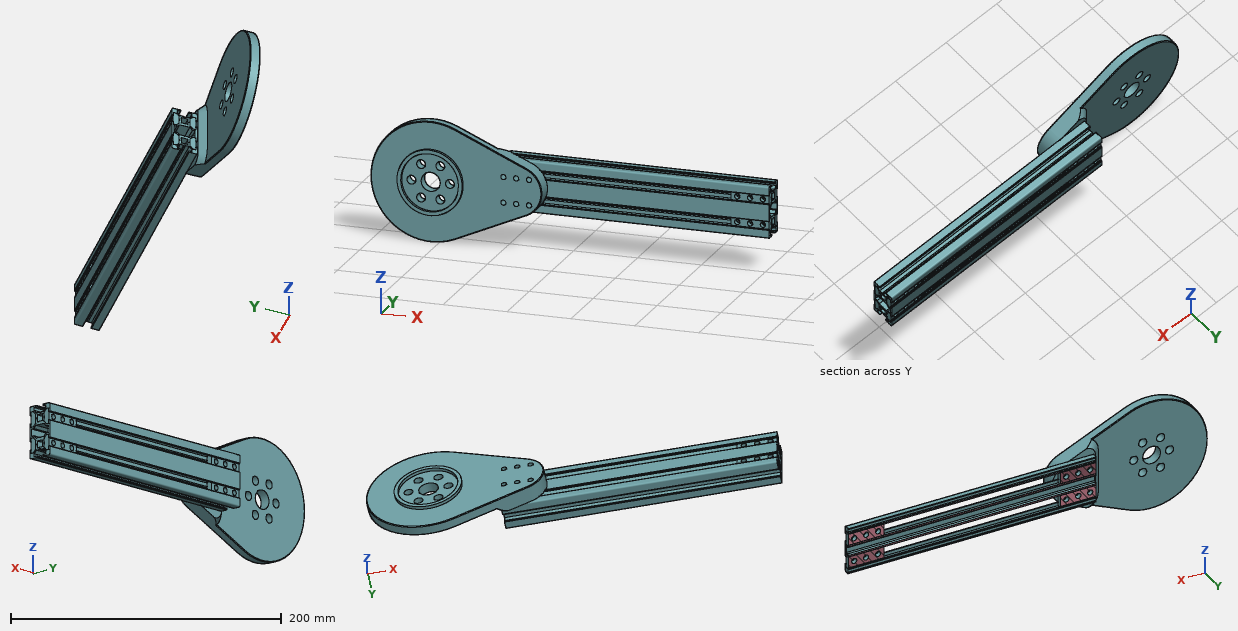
import cadquery as cq
import math


disc_radius = 47.0
tip_radius = 20.0
tip_x = 67.0
plate_thickness = 8.0
edge_chamfer = 0.5
pad_height = 5.2
pad_start_x = 50.0
pad_half_width = 25.8
pad_corner_radius = 7.0

hub_diameter = 51.0
hub_height = 2.5
hub_recess_diameter = 45.0
hub_recess_depth = 2.5
bore_diameter = 14.7
hub_hole_count = 6
hub_hole_diameter = 6.8
hub_hole_circle_radius = 15.0

overall_length = 306.8
cell = 20.0
rail_start_x = 52.0
rail_end_x = overall_length - disc_radius
rail_length = rail_end_x - rail_start_x
rail_front_y = plate_thickness + pad_height
rail_centre_y = rail_front_y + cell / 2
cell_centres_z = (-cell / 2, cell / 2)
rail_corner_radius = 1.2
slot_mouth = 6.0
mouth_chamfer = 0.45
slot_width = 11.7
slot_lip = 1.2
slot_floor_width = 7.0
slot_floor_from_centre = 4.3
groove_width = 1.5
groove_depth = 0.5
core_hole = 5.2
cavity_half_depth = 8.3
cavity_shoulder_half_depth = 6.0
cavity_shoulder_half_width = 2.8
cavity_half_width = 5.0

strip_length = 30.0
strip_hole_count = 3
strip_hole_pitch = strip_length / strip_hole_count
strip_recess = 1.0
screw_hole_diameter = 4.0


def strip_hole_positions(strip_start_x):
    """X positions of the screw holes in a strip that starts at strip_start_x."""
    return [strip_start_x + (i + 0.5) * strip_hole_pitch for i in range(strip_hole_count)]


def cylinder_y(diameter, x, z, y_from, y_to):
    """Cylinder parallel to Y."""
    start = cq.Vector(x, y_from, z)
    return cq.Workplane(cq.Solid.makeCylinder(diameter / 2, y_to - y_from, start, cq.Vector(0, 1, 0)))


def facing_back(y):
    """Sketch plane at the given Y: local x is X, local y is -Z, extrusion goes toward +Y."""
    return cq.Workplane(cq.Plane(origin=(0, y, 0), xDir=(1, 0, 0), normal=(0, 1, 0)))



def teardrop(y_from, height):
    """Disc and tip joined by their two common tangents."""
    sine = (disc_radius - tip_radius) / tip_x
    cosine = math.sqrt(1 - sine ** 2)
    disc_x, disc_z = disc_radius * sine, disc_radius * cosine
    tangent_x, tangent_z = tip_x + tip_radius * sine, tip_radius * cosine
    return (
        facing_back(y_from)
        .moveTo(disc_x, disc_z)
        .threePointArc((-disc_radius, 0), (disc_x, -disc_z))
        .lineTo(tangent_x, -tangent_z)
        .threePointArc((tip_x + tip_radius, 0), (tangent_x, tangent_z))
        .close()
        .extrude(height)
    )


def pad():
    """Pad with a 45 degree slope all round its rounded front, trimmed to the plate outline."""
    base_start_x = pad_start_x - pad_height
    base_half_width = pad_half_width + pad_height
    base_length = 2 * (tip_x + tip_radius - base_start_x)

    def footprint(y):
        return (
            facing_back(y)
            .center(base_start_x + base_length / 2, 0)
            .sketch()
            .rect(base_length, 2 * base_half_width)
            .vertices()
            .fillet(pad_corner_radius + pad_height)
            .finalize()
        )

    root = footprint(plate_thickness - edge_chamfer).extrude(edge_chamfer)
    slope = footprint(plate_thickness).extrude(pad_height, taper=45)
    outline = teardrop(0, rail_front_y)
    return root.union(slope).intersect(outline)


def build_arm():
    arm = teardrop(0, plate_thickness).faces("<Y or >Y").edges().chamfer(edge_chamfer)
    arm = arm.union(pad())
    arm = arm.union(cylinder_y(hub_diameter, 0, 0, -hub_height, plate_thickness))
    arm = arm.cut(cylinder_y(hub_recess_diameter, 0, 0, -hub_height, hub_recess_depth - hub_height))
    arm = arm.cut(cylinder_y(bore_diameter, 0, 0, -hub_height, plate_thickness))
    for i in range(hub_hole_count):
        angle = 2 * math.pi * i / hub_hole_count
        x = hub_hole_circle_radius * math.cos(angle)
        z = hub_hole_circle_radius * math.sin(angle)
        arm = arm.cut(cylinder_y(hub_hole_diameter, x, z, -hub_height, plate_thickness))
    for x in strip_hole_positions(rail_start_x):
        for z in cell_centres_z:
            arm = arm.cut(cylinder_y(screw_hole_diameter, x, z, 0, rail_front_y))
    return arm



def cross_section(start_x):
    """Sketch plane across the rail: local x is Y from the rail centre, local y is Z."""
    return cq.Workplane("YZ", origin=(start_x, rail_centre_y, 0))


def slot_prism(start_x, length, mouth_recess, centre_z, turn):
    """T-slot shape facing +Y, turned about its cell centre; the mouth stops short by mouth_recess."""
    outer = cell / 2 - mouth_recess
    lip_inside = cell / 2 - slot_lip
    taper = (slot_width - slot_floor_width) / 2
    half_outline = [
        (outer, slot_mouth / 2),
        (lip_inside, slot_mouth / 2),
        (lip_inside, slot_width / 2),
        (slot_floor_from_centre + taper, slot_width / 2),
        (slot_floor_from_centre, slot_floor_width / 2),
    ]
    mirrored = [(y, -z) for y, z in reversed(half_outline)]
    prism = cross_section(start_x).polyline(half_outline + mirrored).close().extrude(length)
    return turn_in_cell(prism, centre_z, turn)


def mouth_flare(centre_z, turn):
    """Chamfers on both outer edges of a slot mouth."""
    face = cell / 2
    points = [
        (face, slot_mouth / 2 + mouth_chamfer),
        (face - mouth_chamfer, slot_mouth / 2),
        (face - mouth_chamfer, -slot_mouth / 2),
        (face, -slot_mouth / 2 - mouth_chamfer),
    ]
    flare = cross_section(rail_start_x).polyline(points).close().extrude(rail_length)
    return turn_in_cell(flare, centre_z, turn)


def floor_groove(centre_z, turn):
    """V groove in the floor of a slot."""
    points = [
        (slot_floor_from_centre, groove_width / 2),
        (slot_floor_from_centre - groove_depth, 0),
        (slot_floor_from_centre, -groove_width / 2),
    ]
    groove = cross_section(rail_start_x).polyline(points).close().extrude(rail_length)
    return turn_in_cell(groove, centre_z, turn)


def turn_in_cell(shape, centre_z, turn):
    """Turn about the cell axis by the given angle, then move to the cell."""
    turned = shape.rotate((0, rail_centre_y, 0), (1, rail_centre_y, 0), turn)
    return turned.translate((0, 0, centre_z))


def cavity():
    quarter = [
        (cavity_half_depth, cavity_shoulder_half_width),
        (cavity_shoulder_half_depth, cavity_shoulder_half_width),
        (cavity_shoulder_half_depth - (cavity_half_width - cavity_shoulder_half_width), cavity_half_width),
    ]
    upper = quarter + [(-y, z) for y, z in reversed(quarter)]
    lower = [(-y, -z) for y, z in upper]
    return cross_section(rail_start_x).polyline(upper + lower).close().extrude(rail_length)


def build_rail():
    rail = cross_section(rail_start_x).rect(cell, 2 * cell).extrude(rail_length)
    rail = rail.edges("|X").fillet(rail_corner_radius)
    rail = rail.cut(cavity())
    for centre_z in cell_centres_z:
        outward_turn = math.copysign(90, centre_z)
        for turn in (0, 180, outward_turn):
            rail = rail.cut(slot_prism(rail_start_x, rail_length, 0, centre_z, turn))
            rail = rail.cut(mouth_flare(centre_z, turn))
            rail = rail.cut(floor_groove(centre_z, turn))
        core = cross_section(rail_start_x).center(0, centre_z).rect(core_hole, core_hole)
        rail = rail.cut(core.extrude(rail_length))
    return rail


def build_strip(start_x, centre_z, turn):
    strip = slot_prism(start_x, strip_length, strip_recess, centre_z, turn)
    for x in strip_hole_positions(start_x):
        strip = strip.cut(cylinder_y(screw_hole_diameter, x, centre_z, rail_front_y, rail_front_y + cell))
    return strip


arm = build_arm()
rail = build_rail()
strips = [
    build_strip(start_x, centre_z, turn).val()
    for start_x in (rail_start_x, rail_end_x - strip_length)
    for centre_z in cell_centres_z
    for turn in (0, 180)
]

result = cq.Compound.makeCompound([arm.val(), rail.val(), *strips])